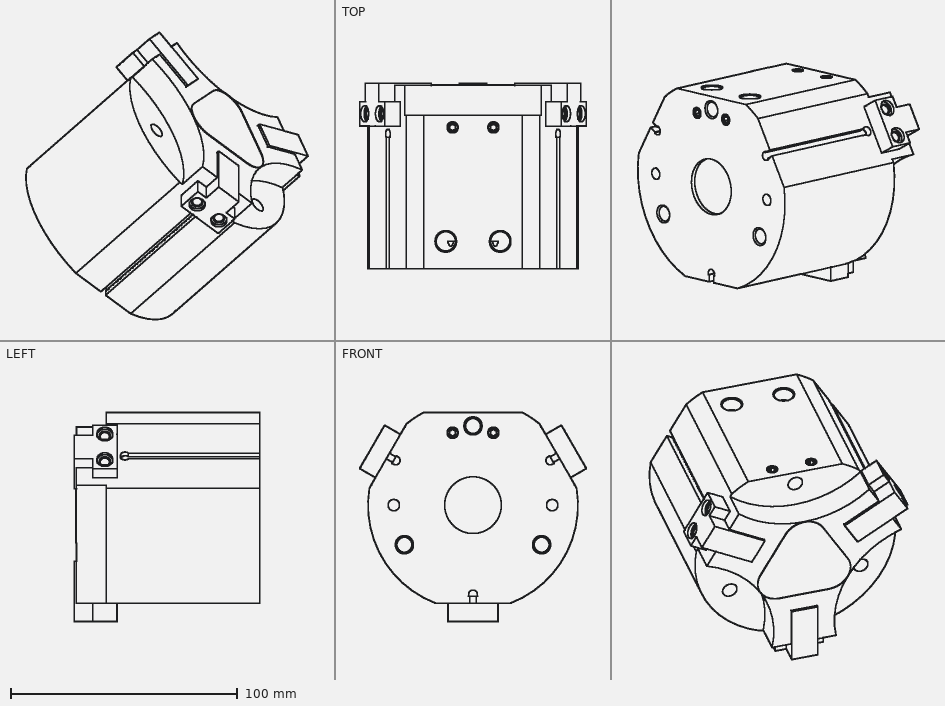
import cadquery as cq
import math


HOUSING_RADIUS = 46.4
PORT_FLAT = 41.0
JAW_FLAT = 43.4
BARREL_LENGTH = 67.8
HOUSING_LENGTH = 81.0
GUIDE_HALF_WIDTH = 14.8
SCALLOP_RADIUS = 46.1
JAW_COUNT = 3
JAW_PITCH = 360 / JAW_COUNT

COVER_HEIGHT = 0.3
COVER_FLAT = 16.6
COVER_CORNER_RADIUS = 10.0

OVERALL_WIDTH = 100.2
JAW_WIDTH = 22.1
TONGUE_WIDTH = 12.0
TONGUE_INNER_END = 24.7
JAW_FRONT = 63.0
TONGUE_FRONT = 73.8
JAW_BACK = 82.0
JAW_REACH = (OVERALL_WIDTH / 2 - JAW_WIDTH / 2 * math.sin(math.radians(30))) / math.cos(math.radians(30))
JAW_HOLE_OFFSET = 6.5
JAW_HOLE_Y = (JAW_FRONT + TONGUE_FRONT) / 2
JAW_SLEEVE_DIAMETER = 7.0
JAW_SLEEVE_DEPTH = 1.7

THREAD_DIAMETER = 4.1
THREAD_MOUTH = 4.9

RECESS_DIAMETER = 25.0
RECESS_DEPTH = 2.0
MOUNT_CIRCLE_RADIUS = 35.0
MOUNT_HOLE_DIAMETER = 6.6
MOUNT_HOLE_MOUTH = 8.0
PIN_HOLE_DIAMETER = 5.0
PIN_HOLE_DEPTH = 6.0

PORT_X = 12.0
PORT_Y = 12.1
PORT_DIAMETER = 8.5
PORT_MOUTH = 9.5
PORT_DEPTH = 6.4
DRILL_POINT_ANGLE = 118.0
SCREW_X = 9.0
FRONT_SCREW_Z = 32.0
TOP_SCREW_Y = 62.4
SCREW_LENGTH = 5.0
SCREW_HEX = 2.5
SCREW_HEX_DEPTH = 2.0
SCREW_SINK = (THREAD_MOUTH - THREAD_DIAMETER) / 2

GROOVE_NECK_WIDTH = 2.8
GROOVE_NECK_DEPTH = 3.2
GROOVE_BULB_DIAMETER = 3.8
GROOVE_DEPTH = 5.9
GROOVE_ENTRY_DIAMETER = 4.1
GROOVE_END_Y = 59.5

ALONG = cq.Vector(0, 1, 0)
DOWN = cq.Vector(0, 0, -1)
UP = cq.Vector(0, 0, 1)


def around_axis(shape, angle):
    """Turn a shape about the gripper axis."""
    return shape.rotate(cq.Vector(0, 0, 0), ALONG, angle)


def prism(sketch, start, end):
    """Extrude an outline drawn in X and Z between two y positions."""
    return sketch.extrude(start - end).translate((0, start, 0))


def box_between(x_half, y_start, y_end, z_low, z_high):
    """A box centred on x = 0."""
    size = (2 * x_half, y_end - y_start, z_high - z_low)
    corner = cq.Vector(-x_half, y_start, z_low)
    return cq.Solid.makeBox(*size, corner)


def chamfered_hole(diameter, mouth, depth, start, direction):
    """A round cutter with a 45 degree chamfer at its start."""
    bore = cq.Solid.makeCylinder(diameter / 2, depth, start, direction)
    chamfer = cq.Solid.makeCone(mouth / 2, diameter / 2, (mouth - diameter) / 2, start, direction)
    return bore.fuse(chamfer)


def housing_blank():
    """Round barrel with four flats; the jaw end is scalloped between the jaws."""
    blank = prism(cq.Workplane("XZ").circle(HOUSING_RADIUS), 0, HOUSING_LENGTH)
    blank = blank.cut(
        cq.Workplane(box_between(HOUSING_RADIUS, 0, HOUSING_LENGTH, PORT_FLAT, HOUSING_RADIUS))
    )
    corner_angle = math.radians(JAW_PITCH / 2) - math.atan(GUIDE_HALF_WIDTH / JAW_FLAT)
    corner_radius = math.hypot(GUIDE_HALF_WIDTH, JAW_FLAT)
    half_chord = corner_radius * math.sin(corner_angle)
    scallop_centre = corner_radius * math.cos(corner_angle) + math.sqrt(SCALLOP_RADIUS**2 - half_chord**2)
    jaw_flat = box_between(HOUSING_RADIUS, 0, HOUSING_LENGTH, -HOUSING_RADIUS, -JAW_FLAT)
    scallop = cq.Solid.makeCylinder(
        SCALLOP_RADIUS, HOUSING_LENGTH - BARREL_LENGTH, cq.Vector(0, BARREL_LENGTH, scallop_centre), ALONG
    )
    for i in range(JAW_COUNT):
        blank = blank.cut(cq.Workplane(around_axis(jaw_flat, i * JAW_PITCH)))
        blank = blank.cut(cq.Workplane(around_axis(scallop, i * JAW_PITCH)))
    return blank


def cover():
    """Rounded triangle with one side parallel to each jaw flat."""
    triangle = cq.Workplane("XZ").polygon(3, 4 * COVER_FLAT)
    plate = prism(triangle, HOUSING_LENGTH, HOUSING_LENGTH + COVER_HEIGHT)
    plate = plate.edges("|Y").fillet(COVER_CORNER_RADIUS)
    return plate.rotate((0, 0, 0), (0, 1, 0), -90)


def sensor_groove():
    """Keyhole groove in the bottom jaw flat, open at the mounting face."""
    radius = GROOVE_BULB_DIAMETER / 2
    neck_top = GROOVE_NECK_DEPTH - JAW_FLAT
    bulb_centre = GROOVE_DEPTH - radius - JAW_FLAT
    bulb = cq.Solid.makeCylinder(radius, GROOVE_END_Y, cq.Vector(0, 0, bulb_centre), ALONG)
    bulb = bulb.cut(box_between(radius, 0, GROOVE_END_Y, bulb_centre - radius, bulb_centre))
    shoulder = box_between(radius, 0, GROOVE_END_Y, neck_top, bulb_centre)
    neck = box_between(GROOVE_NECK_WIDTH / 2, 0, GROOVE_END_Y, -HOUSING_RADIUS, neck_top)
    entry_start = cq.Vector(0, GROOVE_END_Y, -HOUSING_RADIUS)
    entry = cq.Solid.makeCylinder(GROOVE_ENTRY_DIAMETER / 2, neck_top + HOUSING_RADIUS, entry_start, UP)
    entry_tip = cq.Solid.makeCylinder(radius, bulb_centre + HOUSING_RADIUS, entry_start, UP)
    entry_ball = cq.Workplane("XY").sphere(radius).translate((0, GROOVE_END_Y, bulb_centre)).val()
    return bulb.fuse(shoulder, neck, entry, entry_tip, entry_ball)


def air_port(side):
    """Threaded port in the port flat, with a conical drill point."""
    start = cq.Vector(side * PORT_X, PORT_Y, PORT_FLAT)
    radius = PORT_DIAMETER / 2
    tip_height = radius / math.tan(math.radians(DRILL_POINT_ANGLE / 2))
    tip = cq.Solid.makeCone(radius, 0, tip_height, start - UP * PORT_DEPTH, DOWN)
    return chamfered_hole(PORT_DIAMETER, PORT_MOUTH, PORT_DEPTH, start, DOWN).fuse(tip)


def screw_seats():
    """Mouth, inward direction and hole depth of the four set screw holes."""
    seats = []
    for side in (-1, 1):
        seats.append((cq.Vector(side * SCREW_X, 0, FRONT_SCREW_Z), ALONG, PORT_Y))
        seats.append((cq.Vector(side * SCREW_X, TOP_SCREW_Y, PORT_FLAT), DOWN, SCREW_SINK + SCREW_LENGTH))
    return seats


def housing_cutters():
    """Every hole, recess and groove of the housing."""
    origin = cq.Vector(0, 0, 0)
    cutters = [cq.Solid.makeCylinder(RECESS_DIAMETER / 2, RECESS_DEPTH, origin, ALONG)]
    mount_hole = chamfered_hole(
        MOUNT_HOLE_DIAMETER, MOUNT_HOLE_MOUTH, BARREL_LENGTH, cq.Vector(0, 0, MOUNT_CIRCLE_RADIUS), ALONG
    )
    groove = sensor_groove()
    for i in range(JAW_COUNT):
        cutters.append(around_axis(mount_hole, i * JAW_PITCH))
        cutters.append(around_axis(groove, i * JAW_PITCH))
    for side in (-1, 1):
        pin_start = cq.Vector(side * MOUNT_CIRCLE_RADIUS, 0, 0)
        cutters.append(cq.Solid.makeCylinder(PIN_HOLE_DIAMETER / 2, PIN_HOLE_DEPTH, pin_start, ALONG))
        cutters.append(air_port(side))
    for start, direction, depth in screw_seats():
        cutters.append(chamfered_hole(THREAD_DIAMETER, THREAD_MOUTH, depth, start, direction))
    return cutters


def tongue():
    """Narrow part of the bottom jaw, which slides in the housing."""
    return box_between(TONGUE_WIDTH / 2, TONGUE_FRONT, JAW_BACK, -JAW_REACH, -TONGUE_INNER_END)


def make_jaw(index):
    """T-shaped jaw with two sleeve holes in its outer face."""
    block = box_between(JAW_WIDTH / 2, JAW_FRONT, TONGUE_FRONT, -JAW_REACH, -JAW_FLAT)
    jaw = cq.Workplane(block).union(cq.Workplane(tongue()))
    for side in (-1, 1):
        start = cq.Vector(side * JAW_HOLE_OFFSET, JAW_HOLE_Y, -JAW_REACH)
        sleeve = cq.Solid.makeCylinder(JAW_SLEEVE_DIAMETER / 2, JAW_SLEEVE_DEPTH, start, UP)
        thread_depth = JAW_REACH - JAW_FLAT - JAW_SLEEVE_DEPTH
        thread = chamfered_hole(
            THREAD_DIAMETER, THREAD_MOUTH, thread_depth, start + UP * JAW_SLEEVE_DEPTH, UP
        )
        jaw = jaw.cut(cq.Workplane(sleeve)).cut(cq.Workplane(thread))
    return around_axis(jaw.val(), index * JAW_PITCH)


def make_housing():
    body = housing_blank().union(cover())
    for i in range(JAW_COUNT):
        body = body.cut(cq.Workplane(around_axis(tongue(), i * JAW_PITCH)))
    for cutter in housing_cutters():
        body = body.cut(cq.Workplane(cutter))
    return body.val()


def make_set_screw(mouth, direction):
    """Headless screw with a hexagon socket, sunk to the end of the hole's chamfer."""
    top = mouth + direction * SCREW_SINK
    hex_corner_diameter = SCREW_HEX / math.cos(math.radians(30))
    plane = cq.Plane(origin=top, xDir=direction.cross(cq.Vector(1, 0, 0)), normal=direction)
    screw = cq.Workplane(plane).circle(THREAD_DIAMETER / 2).extrude(SCREW_LENGTH)
    socket = cq.Workplane(plane).polygon(6, hex_corner_diameter).extrude(SCREW_HEX_DEPTH)
    return screw.cut(socket).val()


housing = make_housing()
jaws = [make_jaw(i) for i in range(JAW_COUNT)]
set_screws = [make_set_screw(mouth, direction) for mouth, direction, _ in screw_seats()]

result = cq.Compound.makeCompound([housing, *jaws, *set_screws])